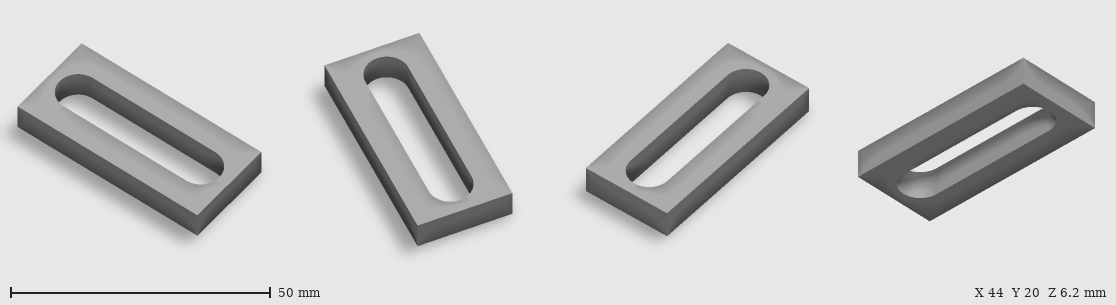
import cadquery as cq

length = 44.0
width = 20.0
thickness = 6.2

slot_length = 39.0
slot_width = 9.0

bar = cq.Workplane("XY").box(length, width, thickness)
result = bar.faces(">Z").workplane().slot2D(slot_length, slot_width).cutThruAll()